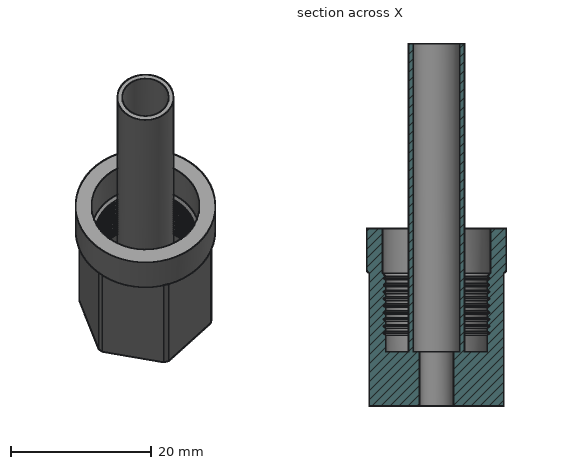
import cadquery as cq
import math

total_height = 51.75
collar_bottom = 19.3
collar_top = 25.35

collar_diameter = 20.0
hex_across_flats = 17.0
hex_corner_diameter = 19.2

tube_diameter = 8.0
tube_bore_diameter = 6.65
base_bore_diameter = 4.8
floor_height = 7.75

socket_diameter = 15.45
grooved_diameter = 14.5
groove_diameter = 15.15
socket_depth = 6.35
groove_pitch = 1.0
groove_count = 9
crest_width = 0.45


def cylinder(diameter, bottom, top):
    return cq.Workplane("XY").workplane(offset=bottom).circle(diameter / 2).extrude(top - bottom)


def hex_body():
    """Hex prism with flats facing +X and -X and its corners turned round."""
    across_corners = hex_across_flats / math.cos(math.pi / 6)
    hexagon = (
        cq.Workplane("XY")
        .polygon(6, across_corners)
        .extrude(collar_bottom)
        .rotate((0, 0, 0), (0, 0, 1), 30)
    )
    return hexagon.intersect(cylinder(hex_corner_diameter, 0, collar_bottom))


def collar():
    """Round collar carried on a 45 degree cone that runs down into the hex flats."""
    collar_radius = collar_diameter / 2
    cone_tip_radius = socket_diameter / 2
    cone_bottom = collar_bottom - (collar_radius - cone_tip_radius)
    return (
        cq.Workplane("XZ")
        .moveTo(0, cone_bottom)
        .lineTo(cone_tip_radius, cone_bottom)
        .lineTo(collar_radius, collar_bottom)
        .lineTo(collar_radius, collar_top)
        .lineTo(0, collar_top)
        .close()
        .revolve(360, (0, 0), (0, 1))
    )


def socket():
    """Socket space: plain upper bore, lead-in chamfer, then V-shaped ring grooves."""
    socket_radius = socket_diameter / 2
    crest_radius = grooved_diameter / 2
    groove_radius = groove_diameter / 2
    chamfer_top = collar_top - socket_depth
    chamfer_bottom = chamfer_top - (socket_radius - crest_radius)
    profile = (
        cq.Workplane("XZ")
        .moveTo(0, collar_top)
        .lineTo(socket_radius, collar_top)
        .lineTo(socket_radius, chamfer_top)
        .lineTo(crest_radius, chamfer_bottom)
    )
    for index in range(groove_count):
        groove_top = chamfer_bottom - index * groove_pitch
        groove_bottom = groove_top - (groove_pitch - crest_width)
        profile = (
            profile.lineTo(groove_radius, (groove_top + groove_bottom) / 2)
            .lineTo(crest_radius, groove_bottom)
            .lineTo(crest_radius, groove_top - groove_pitch)
        )
    return (
        profile.lineTo(crest_radius, floor_height)
        .lineTo(0, floor_height)
        .close()
        .revolve(360, (0, 0), (0, 1))
    )


body = hex_body().union(collar()).cut(socket())
tube = cylinder(tube_diameter, 0, total_height)
base_bore = cylinder(base_bore_diameter, 0, floor_height)
tube_bore = cylinder(tube_bore_diameter, floor_height, total_height)
result = body.union(tube).cut(base_bore).cut(tube_bore)